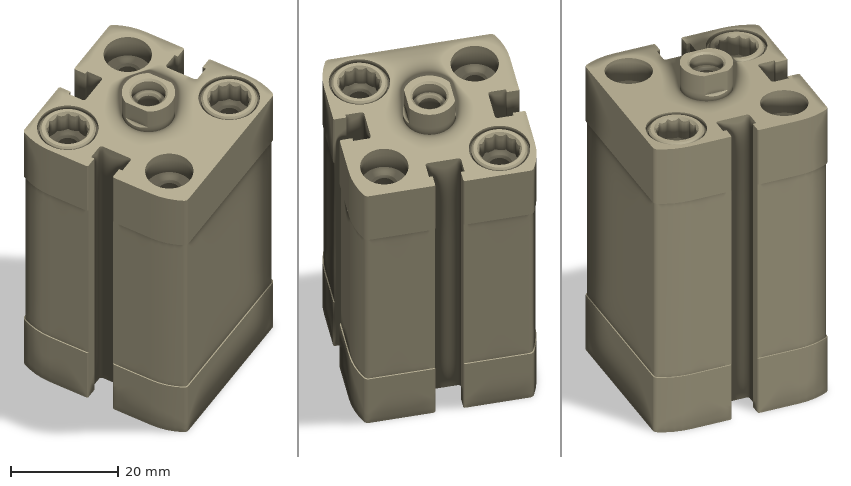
import cadquery as cq
import math

side = 35.5
total_height = 67.9
rod_projection = 5.5
cap_height = 12.0
barrel_inset = 0.24
hole_pitch = 22.0

corner_arc_radius = 13.6
corner_blend_radius = 0.95

slot_mouth = 5.35
slot_width = 6.8
slot_lip = 2.45
slot_depth = 5.9
slot_floor_radius = 0.55
slot_mouth_chamfer = 0.2

through_diameter = 4.15
thread_diameter = 5.0
thread_chamfer_depth = 0.4
counterbore_diameter = 9.0
counterbore_depth = 4.95

recess_diameter = 11.5
recess_depth = 1.0
head_diameter = 10.5
head_top_diameter = 9.8
head_chamfer_depth = 0.4
socket_depth = 4.5
socket_teeth = 12
socket_tip_diameter = 7.5
socket_root_diameter = 8.0
socket_lead_in_diameter = 8.35
socket_lead_in_depth = 0.6
tooth_tip_half_angle = 5.4
first_tooth_angle = 45.0

rod_diameter = 10.0
rod_length = 20.4
flat_spacing = 8.75
flat_height = 4.2
flat_runout = 0.35
rod_bore_diameter = 6.4
rod_bore_depth = 2.65
rod_bore_rim_diameter = 7.2
rod_bore_rim_depth = 0.35
rod_thread_depth = 13.6
drill_tip_angle = 118.0

half_side = side / 2
housing_height = total_height - rod_projection
half_pitch = hole_pitch / 2
through_radius = through_diameter / 2
thread_radius = thread_diameter / 2
rod_radius = rod_diameter / 2
rod_bottom = total_height - rod_length

counterbore_corners = [(-half_pitch, half_pitch), (half_pitch, -half_pitch)]
screw_corners = [(-half_pitch, -half_pitch), (half_pitch, half_pitch)]


def cone(bottom_radius, top_radius, bottom_z, height):
    base = cq.Vector(0, 0, bottom_z)
    return cq.Workplane(cq.Solid.makeCone(bottom_radius, top_radius, height, pnt=base))


def cylinder(diameter, bottom_z, height):
    return cq.Workplane("XY", origin=(0, 0, bottom_z)).circle(diameter / 2).extrude(height)


def section_prism(inset, bottom_z, height):
    """Square section with bulged corners, shrunk evenly by the inset."""
    half = half_side - inset
    radius = corner_arc_radius - inset
    sag_at_side = radius - math.sqrt(radius**2 - (half - half_pitch) ** 2)
    half_run = (half - half_pitch) / 2
    sag_at_middle = radius - math.sqrt(radius**2 - half_run**2)
    arc_x = half_pitch + half_run
    side_y = half - sag_at_side
    arc_y = half - sag_at_middle
    outline = (
        cq.Workplane("XY", origin=(0, 0, bottom_z))
        .moveTo(-half_pitch, half)
        .lineTo(half_pitch, half)
        .threePointArc((arc_x, arc_y), (half, side_y))
        .lineTo(half, -side_y)
        .threePointArc((arc_x, -arc_y), (half_pitch, -half))
        .lineTo(-half_pitch, -half)
        .threePointArc((-arc_x, -arc_y), (-half, -side_y))
        .lineTo(-half, side_y)
        .threePointArc((-arc_x, arc_y), (-half_pitch, half))
        .close()
    )
    return outline.extrude(height).edges("|Z and (<X or >X)").fillet(corner_blend_radius)


def t_slot():
    """Cutter for the T-slot of the +Y side, over the full height."""
    half_mouth = slot_mouth / 2
    half_width = slot_width / 2
    lip_y = half_side - slot_lip
    floor_y = half_side - slot_depth
    flared = half_mouth + slot_mouth_chamfer
    flare_y = half_side - slot_mouth_chamfer
    return (
        cq.Workplane("XY")
        .moveTo(-flared, half_side)
        .lineTo(-half_mouth, flare_y)
        .lineTo(-half_mouth, lip_y)
        .lineTo(-half_width, lip_y)
        .lineTo(-half_width, floor_y)
        .lineTo(half_width, floor_y)
        .lineTo(half_width, lip_y)
        .lineTo(half_mouth, lip_y)
        .lineTo(half_mouth, flare_y)
        .lineTo(flared, half_side)
        .close()
        .extrude(housing_height)
        .edges("|Z and <Y")
        .fillet(slot_floor_radius)
    )


def threaded_hole(floor_z, hole_depth):
    """Cutter for a plain bore with a chamfered rim, going down from floor_z."""
    rim_z = floor_z - thread_chamfer_depth
    rim = cone(through_radius, thread_radius, rim_z, thread_chamfer_depth)
    return cylinder(through_diameter, floor_z - hole_depth, hole_depth).union(rim)


def counterbored_hole():
    floor_z = housing_height - counterbore_depth
    counterbore = cylinder(counterbore_diameter, floor_z, counterbore_depth)
    return counterbore.union(threaded_hole(floor_z, floor_z))


def polar_point(radius, angle):
    return (radius * math.cos(math.radians(angle)), radius * math.sin(math.radians(angle)))


def toothed_socket(floor_z):
    """Cutter for the internally toothed drive of a screw head, with its conical lead-in."""
    tip_radius = socket_tip_diameter / 2
    root_radius = socket_root_diameter / 2
    lead_in_radius = socket_lead_in_diameter / 2
    pitch_angle = 360 / socket_teeth
    points = []
    for tooth in range(socket_teeth):
        centre = first_tooth_angle + tooth * pitch_angle
        points.append(polar_point(tip_radius, centre - tooth_tip_half_angle))
        points.append(polar_point(tip_radius, centre + tooth_tip_half_angle))
        points.append(polar_point(root_radius, centre + pitch_angle / 2))
    socket = cq.Workplane("XY", origin=(0, 0, floor_z)).polyline(points).close().extrude(socket_depth)
    lead_in_z = housing_height - socket_lead_in_depth
    return socket.union(cone(tip_radius, lead_in_radius, lead_in_z, socket_lead_in_depth))


def screw_head_hole():
    """Cutter that leaves a socketed screw head standing in a round recess."""
    head_radius = head_diameter / 2
    recess_z = housing_height - recess_depth
    shank_height = recess_depth - head_chamfer_depth
    head = cylinder(head_diameter, recess_z, shank_height).union(
        cone(head_radius, head_top_diameter / 2, recess_z + shank_height, head_chamfer_depth)
    )
    floor_z = housing_height - socket_depth
    ring_recess = cylinder(recess_diameter, recess_z, recess_depth).cut(head)
    return ring_recess.union(toothed_socket(floor_z)).union(threaded_hole(floor_z, floor_z))


def make_housing():
    housing = section_prism(barrel_inset, cap_height, housing_height - 2 * cap_height)
    for cap_z in (0, housing_height - cap_height):
        housing = housing.union(section_prism(0, cap_z, cap_height))
    for slot_angle in (0, 90, 180):
        housing = housing.cut(t_slot().rotate((0, 0, 0), (0, 0, 1), slot_angle))
    for x, y in counterbore_corners:
        housing = housing.cut(counterbored_hole().translate((x, y, 0)))
    for x, y in screw_corners:
        housing = housing.cut(screw_head_hole().translate((x, y, 0)))
    return housing.cut(cylinder(rod_diameter, rod_bottom, housing_height - rod_bottom))


def wrench_flat():
    """Cutter for the flat on the +Y side of the rod, with a sloped run-out."""
    flat_y = flat_spacing / 2
    flat_z = total_height - flat_height
    return (
        cq.Workplane("YZ", origin=(-rod_radius, 0, 0))
        .polyline(
            [
                (flat_y, total_height),
                (flat_y, flat_z),
                (rod_radius, flat_z - flat_runout),
                (rod_radius, total_height),
            ]
        )
        .close()
        .extrude(rod_diameter)
    )


def rod_hole():
    """Cutter for the stepped, threaded hole in the end of the rod, with a drill point."""
    floor_z = total_height - rod_bore_depth
    bore = cylinder(rod_bore_diameter, floor_z, rod_bore_depth)
    rim_z = total_height - rod_bore_rim_depth
    rim = cone(rod_bore_diameter / 2, rod_bore_rim_diameter / 2, rim_z, rod_bore_rim_depth)
    thread_length = rod_thread_depth - rod_bore_depth
    thread = threaded_hole(floor_z, thread_length)
    tip_height = through_radius / math.tan(math.radians(drill_tip_angle / 2))
    tip = cone(0, through_radius, floor_z - thread_length - tip_height, tip_height)
    return bore.union(rim).union(thread).union(tip)


def make_rod():
    rod = cylinder(rod_diameter, rod_bottom, rod_length)
    for flat_angle in (0, 180):
        rod = rod.cut(wrench_flat().rotate((0, 0, 0), (0, 0, 1), flat_angle))
    return rod.cut(rod_hole())


housing = make_housing()
piston_rod = make_rod()

result = cq.Compound.makeCompound([housing.val(), piston_rod.val()])